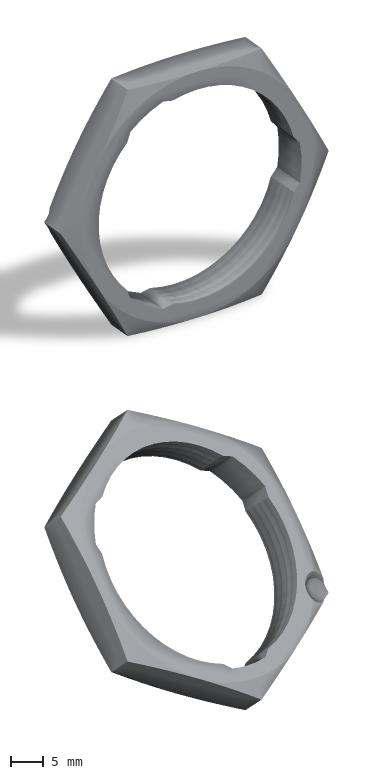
import cadquery as cq
import math

thickness = 6.35
across_corners = 49.4
corner_radius = across_corners / 2
flat_radius = corner_radius * math.cos(math.radians(30))
corner_bevel_angle = 15.0

bore_radius = 18.3
thread_depth = 0.05
thread_pitch = 1.5
thread_count = 4
first_tooth_tip = 1.1
steep_flank = 0.45

recess_radius = 19.15
recess_half_angle = 10.5
mouth_half_angle = 15.3
recess_directions = (0, 120, 240)

pocket_center_y = -22.55
pocket_mouth_radius = 2.75
pocket_floor_radius = 1.95
pocket_depth = 1.0


def revolve_about_x(points):
    """Revolve a closed (x, radius) outline about the X axis."""
    return cq.Workplane("XY").polyline(points).close().revolve(360, (0, 0, 0), (1, 0, 0))


def polar(radius, angle):
    """Point in the YZ plane at an angle measured from +Y."""
    turn = math.radians(angle)
    return radius * math.cos(turn), radius * math.sin(turn)


def hexagon_with_beveled_corners():
    hexagon = cq.Workplane("YZ").polygon(6, across_corners).extrude(thickness)
    bevel_drop = (corner_radius - flat_radius) * math.tan(math.radians(corner_bevel_angle))
    bevel_envelope = revolve_about_x([
        (0, 0),
        (0, flat_radius),
        (bevel_drop, corner_radius),
        (thickness - bevel_drop, corner_radius),
        (thickness, flat_radius),
        (thickness, 0),
    ])
    return hexagon.intersect(bevel_envelope)


def threaded_bore():
    """Bore cutter: each tooth rises steeply outward, then tapers back to the bore."""
    root_radius = bore_radius + thread_depth
    outline = [(0, 0), (0, bore_radius)]
    for tooth in range(thread_count):
        tip = first_tooth_tip + tooth * thread_pitch
        outline.append((tip, bore_radius))
        outline.append((tip + steep_flank, root_radius))
    outline += [(thickness, bore_radius), (thickness, 0)]
    return revolve_about_x(outline)


def thread_recess(direction):
    """Recess with an arc floor and sloping sides, closed off inside the bore."""
    return (
        cq.Workplane("YZ")
        .moveTo(0, 0)
        .lineTo(*polar(bore_radius, direction - mouth_half_angle))
        .lineTo(*polar(recess_radius, direction - recess_half_angle))
        .threePointArc(
            polar(recess_radius, direction),
            polar(recess_radius, direction + recess_half_angle),
        )
        .lineTo(*polar(bore_radius, direction + mouth_half_angle))
        .close()
        .extrude(thickness)
    )


def marking_pocket():
    return cq.Workplane(cq.Solid.makeCone(
        pocket_mouth_radius,
        pocket_floor_radius,
        pocket_depth,
        pnt=cq.Vector(0, pocket_center_y, 0),
        dir=cq.Vector(1, 0, 0),
    ))


result = hexagon_with_beveled_corners().cut(threaded_bore())
for direction in recess_directions:
    result = result.cut(thread_recess(direction))
result = result.cut(marking_pocket())